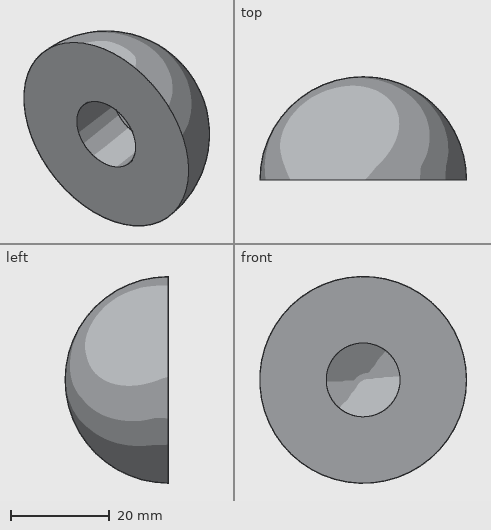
import cadquery as cq
import math

dome_radius = 21.0
bore_diameter = 15.0
bore_depth = 12.0
drill_point_angle = 118.0

bore_radius = bore_diameter / 2
tip_depth = bore_depth + bore_radius / math.tan(math.radians(drill_point_angle / 2))


def make_dome():
    """Solid hemisphere with its flat face on Y = 0 and its crown toward +Y."""
    quarter_disc = (
        cq.Workplane("XY")
        .lineTo(dome_radius, 0)
        .radiusArc((0, dome_radius), -dome_radius)
        .close()
    )
    return quarter_disc.revolve(360, (0, 0), (0, 1))


def make_bore():
    """Blind drilled hole along +Y, ending in a cone."""
    half_profile = (
        cq.Workplane("XY")
        .lineTo(bore_radius, 0)
        .lineTo(bore_radius, bore_depth)
        .lineTo(0, tip_depth)
        .close()
    )
    return half_profile.revolve(360, (0, 0), (0, 1))


result = make_dome().cut(make_bore())